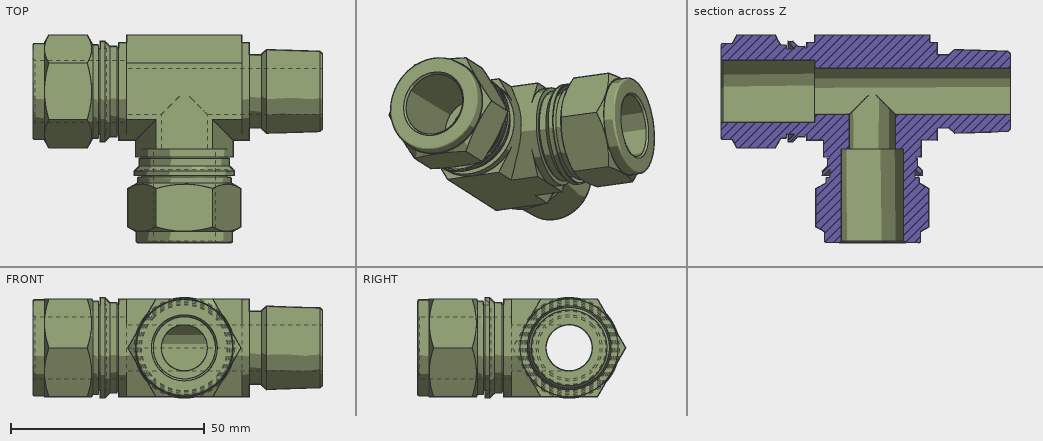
import cadquery as cq
import math

hex_flats = 25.4
hex_corner_radius = hex_flats / math.sqrt(3)
body_half_length = 14.93
round_radius = hex_flats / 2
flat_normal_angle = math.radians(30)
corner_tangent = round_radius * math.cos(flat_normal_angle)
shoulder_distance = 17.0

seat_radius = 23.5 / 2
seat_end = 19.3
flange_radius = 26.1 / 2
flange_start = 20.6
flange_end = 21.82
dish_rim_radius = hex_flats / 2
dish_angle = 45
groove_radius = 22.22 / 2
dish_depth = (dish_rim_radius - groove_radius) / math.tan(math.radians(dish_angle))
relief_radius = 22.7 / 2
relief_end = 17.4
neck_radius = 24.3 / 2
neck_start = 22.2
neck_rounding = 0.4
collar_radius = 25.0 / 2
collar_start = 36.25
tube_end = 39.225
collar_rounding = 0.5

nut_inner_corner = 25.15
nut_outer_corner = 35.1
nut_bevel_angle = 30
corner_slope = math.tan(math.radians(nut_bevel_angle))

overall_length = 75.03
male_end = overall_length - tube_end
male_neck_radius = 19.0 / 2
male_shoulder = 16.85
thread_start = 20.0
thread_crest = 21.3
thread_tip = 35.1
thread_tip_radius = 20.88 / 2
thread_taper = 1 / 32
thread_crest_radius = thread_tip_radius + (thread_tip - thread_crest) * thread_taper
thread_root_radius = 19.4 / 2
male_face_radius = 19.6 / 2

bore_radius = 11.9 / 2
socket_radius = 16.1 / 2
socket_mouth_radius = 17.1 / 2
socket_mouth_depth = socket_mouth_radius - socket_radius
socket_floor = body_half_length


def hex_bar(start, end):
    """Hexagonal bar along +X with flats facing +Z and -Z."""
    return (
        cq.Workplane("YZ", origin=(start, 0, 0))
        .polygon(6, 2 * hex_corner_radius)
        .extrude(end - start)
    )


def turned(profile):
    """Solid turned about the X axis from (x, radius) points."""
    first_x = profile[0][0]
    last_x = profile[-1][0]
    points = [(first_x, 0), *profile, (last_x, 0)]
    return cq.Workplane("XY").polyline(points).close().revolve(360, (0, 0, 0), (1, 0, 0))


def cylinder(start, end, radius):
    """Cylinder along the X axis."""
    return turned([(start, radius), (end, radius)])


def nut():
    """Nut hexagon along +X with both ends cut back by cones."""
    inner_length = (hex_corner_radius - groove_radius) * corner_slope
    outer_length = collar_start - nut_outer_corner
    envelope = turned([
        (nut_inner_corner - inner_length, groove_radius),
        (nut_inner_corner, hex_corner_radius),
        (nut_outer_corner, hex_corner_radius),
        (collar_start, hex_corner_radius - outer_length / corner_slope),
    ])
    return hex_bar(nut_inner_corner - inner_length, collar_start).intersect(envelope)


def tube_fitting():
    """Outside of one tube end along +X, from the tee shoulder to the collar face."""
    shoulders = turned([
        (0, round_radius),
        (shoulder_distance, round_radius),
        (shoulder_distance, relief_radius),
        (relief_end, relief_radius),
        (relief_end, seat_radius),
        (seat_end, seat_radius),
        (flange_start, flange_radius),
        (flange_end, flange_radius),
        (flange_end, dish_rim_radius),
        (flange_end - dish_depth, groove_radius),
        (neck_start, groove_radius),
    ])
    neck = cylinder(neck_start, nut_inner_corner, neck_radius).faces("<X").edges().fillet(neck_rounding)
    collar = cylinder(nut_outer_corner, tube_end, collar_radius).faces(">X").edges().fillet(collar_rounding)
    return shoulders.union(neck).union(nut()).union(collar)


def socket():
    """Tube socket along +X with a bevelled mouth."""
    return turned([
        (socket_floor, socket_radius),
        (tube_end - socket_mouth_depth, socket_radius),
        (tube_end, socket_mouth_radius),
    ])


def male():
    """Outside of the tapered male end along +X."""
    return turned([
        (0, round_radius),
        (male_shoulder, round_radius),
        (male_shoulder, male_neck_radius),
        (thread_start, male_neck_radius),
        (thread_start, thread_root_radius),
        (thread_crest, thread_crest_radius),
        (thread_tip, thread_tip_radius),
        (male_end, male_face_radius),
    ])


def to_run(shape):
    """Turn a +X feature to point along -X."""
    return shape.rotate((0, 0, 0), (0, 0, 1), 180)


def to_branch(shape):
    """Turn a +X feature to point along -Y."""
    return shape.rotate((0, 0, 0), (0, 0, 1), -90)


def rounded_hex_bar(start, end, corner_sides):
    """Hexagonal bar along X, its corner edge turned round on each given side (+1 or -1) of Y."""
    bar = hex_bar(start, end)
    barrel = cylinder(start, end, round_radius)
    for side in corner_sides:
        center_y = side * (corner_tangent + hex_corner_radius / 2)
        corner = (
            cq.Workplane("XY", origin=((start + end) / 2, center_y, 0))
            .box(end - start, hex_corner_radius, hex_flats)
        )
        bar = bar.cut(corner.cut(barrel))
    return bar


def run_body():
    """Run hexagon, rounded on the branch side and sharp on the back."""
    return rounded_hex_bar(-body_half_length, body_half_length, [-1])


def branch_body():
    """Branch hexagon along -Y, rounded on both side corners."""
    return to_branch(rounded_hex_bar(0, body_half_length, [-1, 1]))


outside = run_body().union(branch_body()).union(male())
outside = outside.union(to_run(tube_fitting())).union(to_branch(tube_fitting()))

run_bore = cylinder(-tube_end, male_end, bore_radius)
branch_bore = to_branch(cylinder(0, tube_end, bore_radius))
result = outside.cut(run_bore).cut(branch_bore).cut(to_run(socket())).cut(to_branch(socket()))